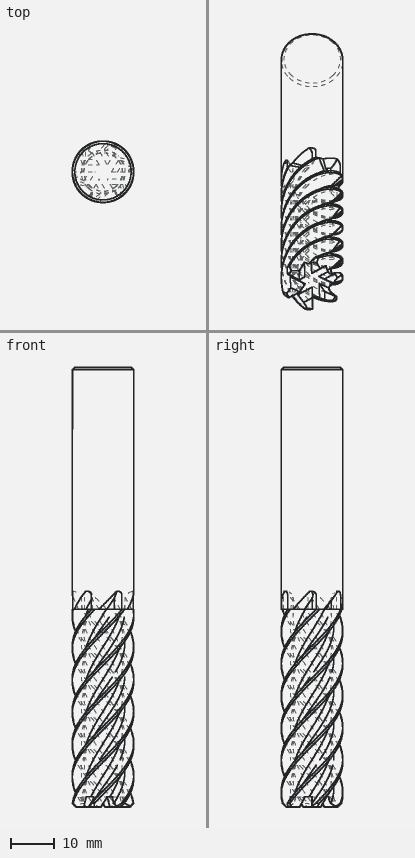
import cadquery as cq
import math

LENGTH = 100.0
DIAMETER = 14.0
RADIUS = DIAMETER / 2
SHANK_CHAMFER = 0.6

CUT_LENGTH = 45.0
FLUTES = 6
HELIX_ANGLE = 45.0
LEAD = math.pi * DIAMETER / math.tan(math.radians(HELIX_ANGLE))
TWIST = 360.0 * CUT_LENGTH / LEAD
PITCH = 360.0 / FLUTES
CORNER_CHAMFER = 0.9

TOP_EDGE_ANGLE = 8.0
MARGIN_ANGLE = 6.5
BACK_END_ANGLE = 32.0
FLOOR_END_ANGLE = 53.0
CORE_RADIUS = 4.4
RAKE_FOOT_RADIUS = 5.0

RUNOUT_HEIGHT = 4.1
RUNOUT_LAND_ANGLE = 14.5
RUNOUT_FLOOR_RADIUS = 5.0
RUNOUT_TIP_RADIUS = 1.0

GASH_DEPTH = 2.4
GASH_WIDTH = 2.8
GASH_ROOF_WIDTH = 1.6

CUT_CLEARANCE = 1.0


def polar(radius, angle):
    """Point in the XY plane at a radius and an angle in degrees."""
    return (radius * math.cos(math.radians(angle)), radius * math.sin(math.radians(angle)))


def head_section(edge_angle):
    """Closed outline of all teeth, with the first cutting edge at edge_angle."""
    outline = cq.Workplane("XY").moveTo(*polar(RADIUS, edge_angle))
    floor_mid_angle = (BACK_END_ANGLE + FLOOR_END_ANGLE) / 2
    for tooth in range(FLUTES):
        edge = edge_angle + tooth * PITCH
        outline = (
            outline
            .threePointArc(polar(RADIUS, edge + MARGIN_ANGLE / 2), polar(RADIUS, edge + MARGIN_ANGLE))
            .lineTo(*polar(CORE_RADIUS, edge + BACK_END_ANGLE))
            .threePointArc(
                polar(CORE_RADIUS, edge + floor_mid_angle),
                polar(RAKE_FOOT_RADIUS, edge + FLOOR_END_ANGLE),
            )
        )
        if tooth < FLUTES - 1:
            outline = outline.lineTo(*polar(RADIUS, edge + PITCH))
    return outline.close()


def corner_ring():
    """Ring that bevels the outer corner of the end teeth."""
    inner = RADIUS - CORNER_CHAMFER - CUT_CLEARANCE
    outer = RADIUS + CUT_CLEARANCE
    return (
        cq.Workplane("XZ")
        .polyline([
            (inner, -CUT_CLEARANCE),
            (outer, -CUT_CLEARANCE),
            (outer, CORNER_CHAMFER + CUT_CLEARANCE),
        ])
        .close()
        .revolve(360, (0, 0, 0), (0, 1, 0))
    )


def end_gash(edge_angle):
    """Radial notch cut in front of one cutting edge at the end face."""
    notch = (
        cq.Workplane("YZ")
        .polyline([
            (0, -CUT_CLEARANCE),
            (0, GASH_DEPTH),
            (-GASH_ROOF_WIDTH, GASH_DEPTH),
            (-GASH_WIDTH, 0),
            (-GASH_WIDTH, -CUT_CLEARANCE),
        ])
        .close()
        .extrude(RADIUS + CUT_CLEARANCE)
    )
    return notch.rotate((0, 0, 0), (0, 0, 1), edge_angle)


def make_cutting_head():
    bottom_edge_angle = TOP_EDGE_ANGLE - TWIST
    head = head_section(bottom_edge_angle).twistExtrude(CUT_LENGTH, TWIST)
    head = head.cut(corner_ring())
    for tooth in range(FLUTES):
        head = head.cut(end_gash(bottom_edge_angle + tooth * PITCH))
    return head


def overshoot(floor_point, rim_point):
    """Point on the flute wall through both points, as far again beyond the rim."""
    return tuple(2 * rim - floor for floor, rim in zip(floor_point, rim_point))


def runout_section():
    """Outline of one flute at the foot of the shank, reaching past the shank surface."""
    back_rim = polar(RADIUS, TOP_EDGE_ANGLE + RUNOUT_LAND_ANGLE)
    back_foot = polar(RUNOUT_FLOOR_RADIUS, TOP_EDGE_ANGLE + BACK_END_ANGLE)
    rake_foot = polar(RUNOUT_FLOOR_RADIUS, TOP_EDGE_ANGLE + FLOOR_END_ANGLE)
    rake_rim = polar(RADIUS, TOP_EDGE_ANGLE + PITCH)
    return (
        cq.Workplane("XY", origin=(0, 0, CUT_LENGTH))
        .polyline([overshoot(back_foot, back_rim), back_foot, rake_foot, overshoot(rake_foot, rake_rim)])
        .close()
    )


def flute_runout():
    """Flute that keeps its helical back but ends against an upright wall with a rounded top."""
    helical = runout_section().twistExtrude(RUNOUT_HEIGHT, 360.0 * RUNOUT_HEIGHT / LEAD)
    upright = runout_section().extrude(RUNOUT_HEIGHT)
    runout = helical.intersect(upright)
    upright_wall_top = cq.selectors.LengthNthSelector(-2)
    return runout.faces(">Z").edges(upright_wall_top).fillet(RUNOUT_TIP_RADIUS)


def make_shank():
    shank = (
        cq.Workplane("XY", origin=(0, 0, CUT_LENGTH))
        .circle(RADIUS)
        .extrude(LENGTH - CUT_LENGTH)
        .faces(">Z")
        .chamfer(SHANK_CHAMFER)
    )
    runout = flute_runout()
    for flute in range(FLUTES):
        shank = shank.cut(runout.rotate((0, 0, 0), (0, 0, 1), flute * PITCH))
    return shank


cutting_head = make_cutting_head()
shank = make_shank()

result = cq.Compound.makeCompound([cutting_head.val(), shank.val()])